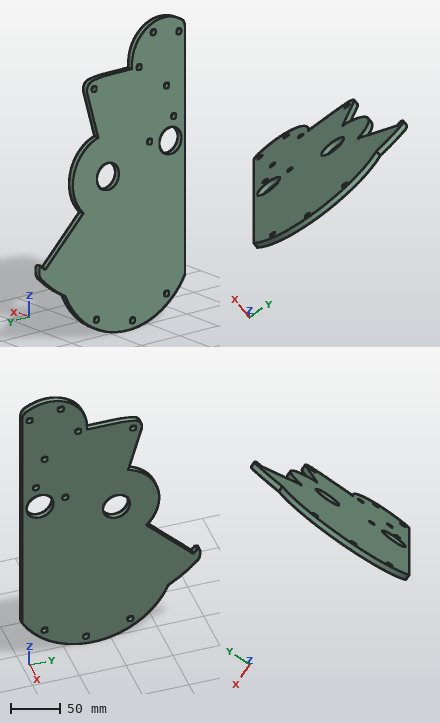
import math

import cadquery as cq

thickness = 6.35
plate_width = 190.08
plate_height = 323.27

bottom_radius = 87.4
bottom_center = (75.8, bottom_radius)
middle_radius = 45.8
middle_center = (100.6, 169.2)
top_radius = 41.7
top_center = (27.5, plate_height - top_radius)

edge_round_start_z = 308.0
edge_round_end_y = 7.0

ear_hole = (118.5, 265.9)
ear_radius = 9.525
ear_top_z = 277.0
ear_flat_end_y = 101.0
ear_crown_angle = 75.0
ear_side_angle = -16.0

hook_notch = (182.5, 87.0)
hook_lip = 6.35
hook_tip_radius = 3.175
ramp_angle = -45.0
hook_heel_radius = 11.0
hook_heel_z = 84.5
hook_heel_angle = -44.0
hook_root_y = 156.2

screw_diameter = 6.35
screw_holes = [
    ear_hole,
    (41.3, 310.3),
    (7.9, 304.3),
    (59.8, 277.0),
    (24.0, 250.0),
    (14.7, 215.6),
    (46.0, 195.0),
]
bottom_bolt_radius = 78.3
bottom_bolt_angles = (228.5, 264.5, 300.5)
bearing_diameter = 28.57
bearing_holes = [middle_center, (19.0, 190.4)]


def polar(center, radius, angle):
    """Point at the given radius and angle in degrees around a centre."""
    turn = math.radians(angle)
    return (center[0] + radius * math.cos(turn), center[1] + radius * math.sin(turn))


def angle_to(center, point):
    """Direction in degrees from a centre to a point."""
    return math.degrees(math.atan2(point[1] - center[1], point[0] - center[0]))


def circle_z(center, radius, y, side):
    """Z of a circle at the given Y, on its upper (side = 1) or lower (side = -1) half."""
    return center[1] + side * math.sqrt(radius**2 - (y - center[0]) ** 2)


def line_meets_circle(start, angle, center, radius):
    """First point where a ray from start, heading along angle, meets a circle."""
    heading = math.radians(angle)
    to_center = (center[0] - start[0], center[1] - start[1])
    along = to_center[0] * math.cos(heading) + to_center[1] * math.sin(heading)
    across = to_center[1] * math.cos(heading) - to_center[0] * math.sin(heading)
    return polar(start, along - math.sqrt(radius**2 - across**2), angle)


def arc_about(outline, center, radius, start, end):
    """Add an arc around a known centre, from start to end with falling angle."""
    start_angle = angle_to(center, start)
    sweep = (start_angle - angle_to(center, end)) % 360
    return outline.threePointArc(polar(center, radius, start_angle - sweep / 2), end)


def add_top_lobe(outline):
    """Straight edge, rounded corner and top lobe, then a short drop to the top of the ear."""
    lobe_start = (edge_round_end_y, circle_z(top_center, top_radius, edge_round_end_y, 1))
    lobe_end = (top_center[0] + top_radius, top_center[1])
    outline = outline.lineTo(0, edge_round_start_z)
    outline = outline.tangentArcPoint(lobe_start, relative=False)
    outline = arc_about(outline, top_center, top_radius, lobe_start, lobe_end)
    return outline.lineTo(lobe_end[0], ear_top_z)


def add_ear_and_middle_lobe(outline):
    """Ear around its screw hole, then the middle lobe down to the ramp."""
    crown = polar(ear_hole, ear_radius, ear_crown_angle)
    side = polar(ear_hole, ear_radius, ear_side_angle)
    lobe_start = line_meets_circle(side, ear_side_angle - 90, middle_center, middle_radius)
    lobe_end = line_meets_circle(hook_notch, ramp_angle + 180, middle_center, middle_radius)
    outline = outline.lineTo(ear_flat_end_y, ear_top_z)
    outline = outline.tangentArcPoint(crown, relative=False)
    outline = arc_about(outline, ear_hole, ear_radius, crown, side)
    outline = outline.lineTo(*lobe_start)
    return arc_about(outline, middle_center, middle_radius, lobe_start, lobe_end)


def add_hook(outline, root):
    """Ramp, notch, rounded tip and heel, then a shallow curve to the root of the hook."""
    lip_end = polar(hook_notch, hook_lip, ramp_angle + 90)
    tip_y = plate_width - hook_tip_radius
    tip_z = lip_end[1] - math.sqrt(hook_tip_radius**2 - (lip_end[0] - tip_y) ** 2)
    tip_end = (plate_width, tip_z)
    heel_center = (plate_width - hook_heel_radius, hook_heel_z)
    heel_start = (plate_width, hook_heel_z)
    heel_end = polar(heel_center, hook_heel_radius, hook_heel_angle)
    outline = outline.lineTo(*hook_notch).lineTo(*lip_end)
    outline = arc_about(outline, (tip_y, tip_z), hook_tip_radius, lip_end, tip_end)
    outline = outline.lineTo(*heel_start)
    outline = arc_about(outline, heel_center, hook_heel_radius, heel_start, heel_end)
    return outline.tangentArcPoint(root, relative=False)


def make_plate():
    edge_bottom = (0, circle_z(bottom_center, bottom_radius, 0, -1))
    hook_root = (hook_root_y, circle_z(bottom_center, bottom_radius, hook_root_y, -1))
    outline = cq.Workplane("YZ").moveTo(*edge_bottom)
    outline = add_top_lobe(outline)
    outline = add_ear_and_middle_lobe(outline)
    outline = add_hook(outline, hook_root)
    outline = arc_about(outline, bottom_center, bottom_radius, hook_root, edge_bottom)
    return outline.close().extrude(thickness)


def cut_holes(plate, centers, diameter):
    """Drill holes straight through the plate at the given (Y, Z) centres."""
    drills = cq.Workplane("YZ").pushPoints(centers).circle(diameter / 2).extrude(thickness)
    return plate.cut(drills)


bottom_bolts = [polar(bottom_center, bottom_bolt_radius, angle) for angle in bottom_bolt_angles]

result = make_plate()
result = cut_holes(result, screw_holes + bottom_bolts, screw_diameter)
result = cut_holes(result, bearing_holes, bearing_diameter)